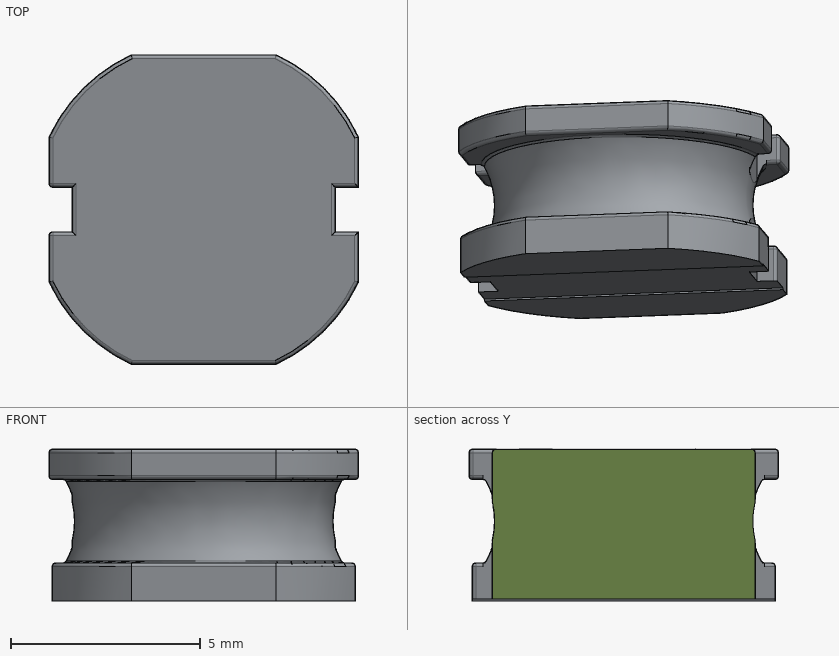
import cadquery as cq
import math

TOTAL_HEIGHT = 4.0
UPPER_THICKNESS = 0.8
GAP_HEIGHT = 2.2
PLATE_THICKNESS = 0.05

FLANGE_RADIUS = 4.5
FLANGE_WIDTH = 8.15
LOWER_LENGTH = 7.99
EDGE_RADIUS = 0.1

WAIST_RADIUS = 3.41
WAIST_ARC_RADIUS = 2.2
ROOT_RADIUS = 0.1

NOTCH_WIDTH = 1.17
NOTCH_FLOOR_X = 3.46

PLATE_SPACING = 2.98

upper_bottom = TOTAL_HEIGHT - UPPER_THICKNESS
lower_top = upper_bottom - GAP_HEIGHT
gap_middle = (upper_bottom + lower_top) / 2


def trimmed_disc(length, bottom, top):
    """Disc cut by flats at +/-length/2 in X and +/-FLANGE_WIDTH/2 in Y."""
    height = top - bottom
    disc = cq.Workplane("XY").workplane(offset=bottom).circle(FLANGE_RADIUS).extrude(height)
    block = cq.Workplane("XY").workplane(offset=bottom).rect(length, FLANGE_WIDTH).extrude(height)
    return disc.intersect(block)


def cut_notches(body):
    """Cut a notch over the full height in the -X and +X sides."""
    reach = FLANGE_RADIUS - NOTCH_FLOOR_X
    for side in (-1, 1):
        notch = (
            cq.Workplane("XY")
            .center(side * (NOTCH_FLOOR_X + reach / 2), 0)
            .rect(reach, NOTCH_WIDTH)
            .extrude(TOTAL_HEIGHT)
        )
        body = body.cut(notch)
    return body


def flange(length, bottom, top, rounded_faces):
    """Notched flange with a rounded -X notch mouth, a square +X one and rounded rims."""
    body = cut_notches(trimmed_disc(length, bottom, top))
    half_mouth = NOTCH_WIDTH / 2 + EDGE_RADIUS
    mouth = cq.selectors.BoxSelector(
        (-length / 2 - EDGE_RADIUS, -half_mouth, bottom),
        (-length / 2 + EDGE_RADIUS, half_mouth, top),
    )
    body = body.edges("|Z").edges(mouth).fillet(EDGE_RADIUS)
    return body.faces(rounded_faces).edges().fillet(EDGE_RADIUS)


def winding_core():
    """Spool of revolution whose ends run into the flanges to fill their rounded notch rims."""
    half_gap = GAP_HEIGHT / 2
    waist_centre = WAIST_RADIUS + WAIST_ARC_RADIUS

    centre_distance = WAIST_ARC_RADIUS - ROOT_RADIUS
    root_height = half_gap - ROOT_RADIUS
    root_angle = math.asin(root_height / centre_distance)
    root_centre = waist_centre - centre_distance * math.cos(root_angle)

    joint_radius = waist_centre - WAIST_ARC_RADIUS * math.cos(root_angle)
    joint_height = WAIST_ARC_RADIUS * math.sin(root_angle)
    middle_angle = (root_angle + math.pi / 2) / 2
    middle_radius = root_centre - ROOT_RADIUS * math.cos(middle_angle)
    middle_height = root_height + ROOT_RADIUS * math.sin(middle_angle)

    end_height = half_gap + UPPER_THICKNESS / 2
    profile = (
        cq.Workplane("XZ", origin=(0, 0, gap_middle))
        .moveTo(0, -end_height)
        .lineTo(root_centre, -end_height)
        .lineTo(root_centre, -half_gap)
        .threePointArc((middle_radius, -middle_height), (joint_radius, -joint_height))
        .threePointArc((WAIST_RADIUS, 0), (joint_radius, joint_height))
        .threePointArc((middle_radius, middle_height), (root_centre, half_gap))
        .lineTo(root_centre, end_height)
        .lineTo(0, end_height)
        .close()
    )
    return cut_notches(profile.revolve(360, (0, 0, 0), (0, 1, 0)))


def terminal_plates():
    """Plates under the two Y ends, following the outline of the lower flange."""
    sheet = trimmed_disc(LOWER_LENGTH, 0, PLATE_THICKNESS)
    spacer = cq.Workplane("XY").rect(2 * FLANGE_RADIUS, PLATE_SPACING).extrude(PLATE_THICKNESS)
    return sheet.cut(spacer)


upper_flange = flange(FLANGE_WIDTH, upper_bottom, TOTAL_HEIGHT, "<Z or >Z")
lower_flange = flange(LOWER_LENGTH, PLATE_THICKNESS, lower_top, ">Z")

result = lower_flange.union(winding_core()).union(upper_flange).union(terminal_plates())